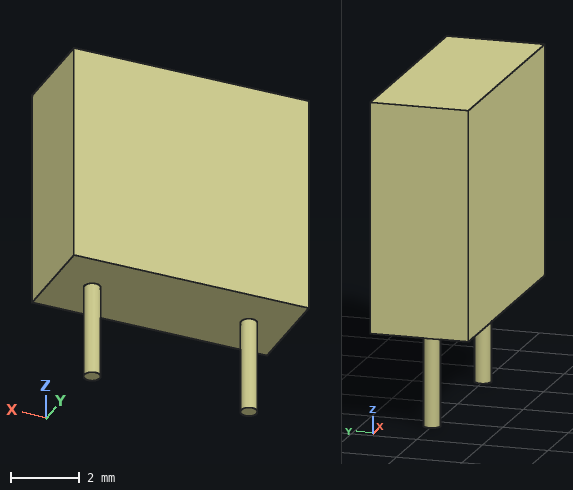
import cadquery as cq

housing_length = 7.5
housing_width = 3.0
housing_height = 7.0

lead_diameter = 0.5
lead_length = 3.0
lead_pitch = 5.0


def make_housing():
    """Plain block, centred in X and Y, with its underside at Z = 0."""
    return cq.Workplane("XY").box(
        housing_length, housing_width, housing_height, centered=(True, True, False)
    )


def make_lead(x):
    """Straight round lead that hangs from the housing underside at the given X."""
    return cq.Workplane("XY").center(x, 0).circle(lead_diameter / 2).extrude(-lead_length)


housing = make_housing()
leads = [make_lead(side * lead_pitch / 2) for side in (-1, 1)]

result = cq.Compound.makeCompound([housing.val(), *[lead.val() for lead in leads]])